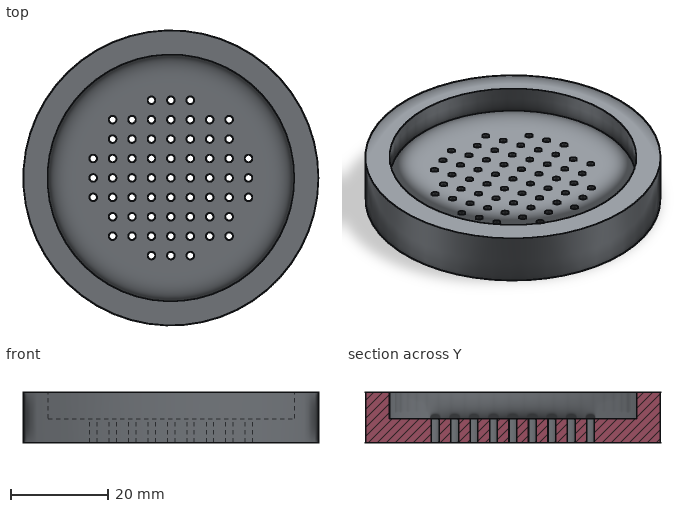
import cadquery as cq
import math

outer_diameter = 60.8
height = 10.45
wall = 5.0
floor = 5.0

hole_diameter = 1.5
grid_width = 32.0
steps_from_centre = 4
hole_field_radius = 17.3

pitch = grid_width / (2 * steps_from_centre)


def make_cup():
    """Round disc with a flat-bottomed recess open at the top."""
    inner_diameter = outer_diameter - 2 * wall
    recess_depth = height - floor
    disc = cq.Workplane("XY").circle(outer_diameter / 2).extrude(height)
    return disc.faces(">Z").workplane().circle(inner_diameter / 2).cutBlind(-recess_depth)


def hole_centres():
    """Grid points that lie within the round hole field."""
    steps = range(-steps_from_centre, steps_from_centre + 1)
    grid = [(column * pitch, row * pitch) for column in steps for row in steps]
    return [(x, y) for x, y in grid if math.hypot(x, y) <= hole_field_radius]


def make_hole_pins():
    """Cylinders that pass right through the base."""
    return cq.Workplane("XY").pushPoints(hole_centres()).circle(hole_diameter / 2).extrude(height)


result = make_cup().cut(make_hole_pins())